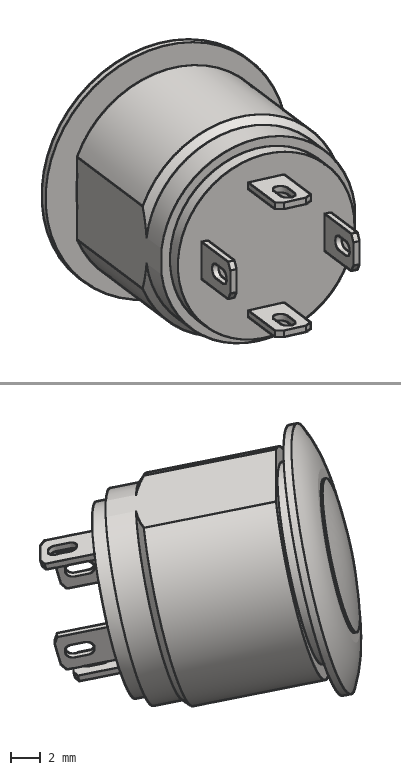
import cadquery as cq
import math

BUTTON_EDGE_X = 0.48
GROOVE_X = 0.62
FLANGE_RIM_X = 1.65
FLANGE_BACK_X = 2.22
BODY_START_X = 3.18
BODY_END_X = 12.28
COLLAR_START_X = 12.82
COLLAR_END_X = 14.9
BASE_END_X = 16.0
PIN_TIP_X = 20.0

BUTTON_RADIUS = 5.25
GROOVE_RADIUS = 5.95
FLANGE_RADIUS = 18.5 / 2
NECK_RADIUS = 6.92
BODY_RADIUS = 7.98
COLLAR_RADIUS = 7.45
BASE_RADIUS = 6.75

FLAT_DISTANCE = 7.38

PIN_COUNT = 4
PIN_OFFSET = 4.7
PIN_THICKNESS = 0.48
PIN_WIDTH = 2.75
PIN_CHAMFER_LENGTH = 0.3
PIN_CHAMFER_WIDTH = 0.52
PIN_ROOT_DEPTH = 0.4
SLOT_LENGTH = 2.0
SLOT_WIDTH = 1.05
SLOT_CENTER_X = 18.48


FLANGE_BULGE = 0.18


def make_turned_body():
    """Stepped profile with domed button and flange, revolved about the X axis."""
    button_sphere = (BUTTON_RADIUS**2 + BUTTON_EDGE_X**2) / (2 * BUTTON_EDGE_X)
    middle_radius = BUTTON_RADIUS / 2
    button_middle_x = button_sphere - math.sqrt(button_sphere**2 - middle_radius**2)
    flange_middle = (
        (GROOVE_X + FLANGE_RIM_X) / 2 - FLANGE_BULGE,
        (GROOVE_RADIUS + FLANGE_RADIUS) / 2,
    )
    return (
        cq.Workplane("XY")
        .moveTo(0, 0)
        .threePointArc((button_middle_x, middle_radius), (BUTTON_EDGE_X, BUTTON_RADIUS))
        .lineTo(GROOVE_X, BUTTON_RADIUS)
        .lineTo(GROOVE_X, GROOVE_RADIUS)
        .threePointArc(flange_middle, (FLANGE_RIM_X, FLANGE_RADIUS))
        .lineTo(FLANGE_BACK_X, FLANGE_RADIUS)
        .lineTo(FLANGE_BACK_X, NECK_RADIUS)
        .lineTo(BODY_START_X, NECK_RADIUS)
        .lineTo(BODY_START_X, BODY_RADIUS)
        .lineTo(BODY_END_X, BODY_RADIUS)
        .lineTo(COLLAR_START_X, COLLAR_RADIUS)
        .lineTo(COLLAR_END_X, COLLAR_RADIUS)
        .lineTo(COLLAR_END_X, BASE_RADIUS)
        .lineTo(BASE_END_X, BASE_RADIUS)
        .lineTo(BASE_END_X, 0)
        .close()
        .revolve(360, (0, 0, 0), (1, 0, 0))
    )


def make_flat_cutter(side):
    """Block that removes everything outside the flat, behind the flange."""
    length = COLLAR_END_X - BODY_START_X
    return cq.Workplane("XY").box(length, BODY_RADIUS, 2 * BODY_RADIUS).translate(
        (BODY_START_X + length / 2, side * (FLAT_DISTANCE + BODY_RADIUS / 2), 0)
    )


def make_pin():
    """Slotted solder tab on the +Y side, lying parallel to the XZ plane."""
    half_width = PIN_WIDTH / 2
    root_x = BASE_END_X - PIN_ROOT_DEPTH
    shoulder_x = PIN_TIP_X - PIN_CHAMFER_LENGTH
    tip_half_width = half_width - PIN_CHAMFER_WIDTH
    outline = [
        (root_x, -half_width),
        (shoulder_x, -half_width),
        (PIN_TIP_X, -tip_half_width),
        (PIN_TIP_X, tip_half_width),
        (shoulder_x, half_width),
        (root_x, half_width),
    ]
    return (
        cq.Workplane("XZ", origin=(0, PIN_OFFSET, 0))
        .polyline(outline)
        .close()
        .moveTo(SLOT_CENTER_X, 0)
        .slot2D(SLOT_LENGTH, SLOT_WIDTH)
        .extrude(PIN_THICKNESS / 2, both=True)
    )


result = make_turned_body()
for side in (-1, 1):
    result = result.cut(make_flat_cutter(side))
for index in range(PIN_COUNT):
    angle = index * 360 / PIN_COUNT
    result = result.union(make_pin().rotate((0, 0, 0), (1, 0, 0), angle))